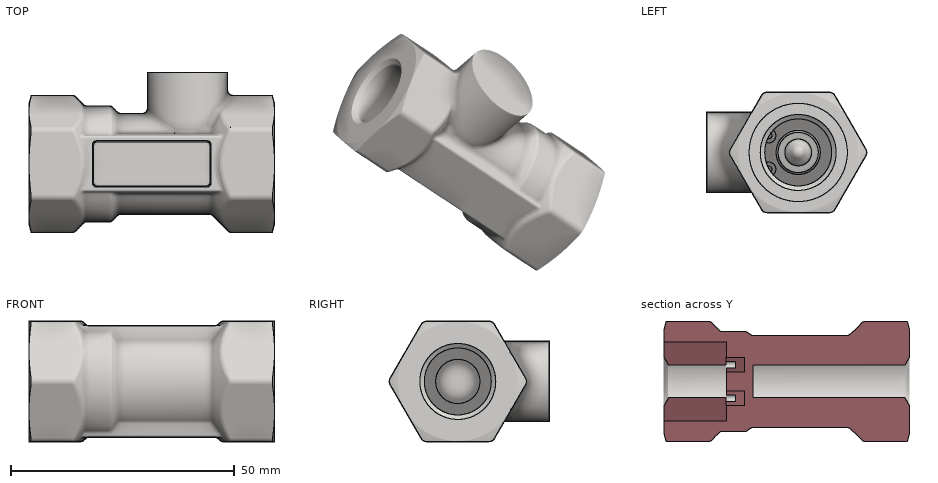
import cadquery as cq
import math

LENGTH = 55.0
LEFT = -LENGTH / 2
RIGHT = LENGTH / 2
HEX_APOTHEM = 13.5
HEX_CORNER_R = HEX_APOTHEM / math.cos(math.radians(30))
HEX_CORNER_FILLET = 1.5
HEX_EDGE_FILLET = 1.0
FACE_CHAMFER_R = 13.4
FACE_CHAMFER_ANGLE = 15.0

BLANK_R = 16.0
BARREL_R = 11.3
COLLAR_R = 13.0
COLLAR_LEFT = LEFT + 12.5
COLLAR_RIGHT = LEFT + 18.4
TAPER_END = COLLAR_RIGHT + COLLAR_R - BARREL_R
RIGHT_CONE_FOOT = RIGHT - 14.15
BARREL_FILLET = 1.0
COLLAR_FOOT_FILLET = 0.8

RIB_Z = 12.5
RIB_ROOT_Z = 7.0
RIB_TOP_HALF_WIDTH = 6.2
RIB_DRAFT = 10.0
RIB_HALF_LENGTH = 17.5
RIB_EDGE_FILLET = 0.6
RIB_ROOT_FILLET = 1.0

LABEL_LENGTH = 26.6
LABEL_WIDTH = 10.4
LABEL_DEPTH = 0.3
LABEL_CORNER_R = 1.0
LABEL_DRAFT = 45.0

BRANCH_R = 9.0
BRANCH_X = 8.0
BRANCH_END_Y = 20.485
BRANCH_FILLET = 1.0

BORE_R = 7.5
MOUTH_R = 8.5
SLEEVE_R = 11.0
SLEEVE_LENGTH = 14.0
WEB_LEFT = LEFT + SLEEVE_LENGTH
WEB_THICKNESS = 6.0
WEB_RIGHT = WEB_LEFT + WEB_THICKNESS

CORE_R = 4.95
CORE_CHAMFER = 0.45
CONE_R = 3.0
CONE_TIP_R = 1.35
CONE_LENGTH = 2.5
TIP_HEIGHT = 0.8

PIN_R = 1.6
PIN_HOLE_R = 0.7
PIN_LENGTH = 4.0
PIN_HOLE_DEPTH = 2.0
PIN_Y = 6.6
PIN_Z = 3.75

SELECT_REACH = 20.0
SELECT_MARGIN = 0.1
BRANCH_EDGE_TOLERANCE = 0.002
EDGE_SAMPLES = (0, 0.3, 0.7, 1)


def revolve_about_x(profile):
    return profile.close().revolve(360, (0, 0, 0), (1, 0, 0))


def x_cylinder(x_start, length, radius, y=0.0, z=0.0):
    return cq.Workplane("YZ", origin=(x_start, y, z)).circle(radius).extrude(length)


def bore_mouth(face_x, inward):
    """Conical entry of a bore; inward is +1 or -1 along X."""
    inner_x = face_x + inward * (MOUTH_R - BORE_R)
    profile = cq.Workplane("XY").polyline([(face_x, 0), (face_x, MOUTH_R), (inner_x, BORE_R), (inner_x, 0)])
    return revolve_about_x(profile)


def edges_between(x_min, x_max, reach=SELECT_REACH):
    """Select the edges that lie wholly between two X stations."""
    return cq.selectors.BoxSelector((x_min, -reach, -reach), (x_max, reach, reach), boundingbox=True)


def circle_at(x, radius):
    return edges_between(x - SELECT_MARGIN, x + SELECT_MARGIN, radius + SELECT_MARGIN)


def make_turned_barrel():
    """Turned shape of the housing; its seam lies on -Y, away from the branch."""
    end_drop = (BLANK_R - FACE_CHAMFER_R) * math.tan(math.radians(FACE_CHAMFER_ANGLE))
    outline = [
        (LEFT, 0),
        (LEFT, -FACE_CHAMFER_R),
        (LEFT + end_drop, -BLANK_R),
        (COLLAR_LEFT - (BLANK_R - COLLAR_R), -BLANK_R),
        (COLLAR_LEFT, -COLLAR_R),
        (COLLAR_RIGHT, -COLLAR_R),
        (TAPER_END, -BARREL_R),
        (RIGHT_CONE_FOOT, -BARREL_R),
        (RIGHT_CONE_FOOT + BLANK_R - BARREL_R, -BLANK_R),
        (RIGHT - end_drop, -BLANK_R),
        (RIGHT, -FACE_CHAMFER_R),
        (RIGHT, 0),
    ]
    turned = revolve_about_x(cq.Workplane("XY").polyline(outline))
    rounded_steps = [
        (COLLAR_LEFT, COLLAR_R, COLLAR_FOOT_FILLET),
        (COLLAR_RIGHT, COLLAR_R, BARREL_FILLET),
        (TAPER_END, BARREL_R, BARREL_FILLET),
        (RIGHT_CONE_FOOT, BARREL_R, BARREL_FILLET),
    ]
    for x, radius, fillet in rounded_steps:
        turned = turned.edges(circle_at(x, radius)).fillet(fillet)
    return turned


def make_hex_barrel():
    """Turned barrel with hexagon flats on its two large ends."""
    hexagon = (
        cq.Workplane("YZ", origin=(LEFT, 0, 0))
        .polygon(6, 2 * HEX_CORNER_R)
        .extrude(LENGTH)
        .edges("|X")
        .fillet(HEX_CORNER_FILLET)
    )
    barrel = make_turned_barrel().intersect(hexagon)
    left_cone = edges_between(COLLAR_LEFT - (BLANK_R - COLLAR_R), COLLAR_LEFT - SELECT_MARGIN)
    right_cone = edges_between(RIGHT_CONE_FOOT + BARREL_FILLET, RIGHT_CONE_FOOT + BLANK_R - BARREL_R)
    barrel = barrel.edges(left_cone).fillet(HEX_EDGE_FILLET)
    return barrel.edges(right_cone).fillet(HEX_EDGE_FILLET)


def make_collar_trim():
    """Collar material that stands above the rib tops, back to the left hexagon's cone."""
    cone_apex_x = COLLAR_LEFT + COLLAR_R
    cone_base_x = COLLAR_LEFT - (BLANK_R - COLLAR_R)
    cone = revolve_about_x(
        cq.Workplane("XY").polyline(
            [(cone_base_x, 0), (cone_base_x, cone_apex_x - cone_base_x), (cone_apex_x, 0)]
        )
    )
    trim_left = COLLAR_LEFT - COLLAR_FOOT_FILLET
    flat_width = 2 * (RIB_TOP_HALF_WIDTH - RIB_EDGE_FILLET)
    block = (
        cq.Workplane("XY", origin=(trim_left, 0, RIB_Z))
        .box(TAPER_END - trim_left, flat_width, BLANK_R - RIB_Z, centered=(False, True, False))
        .cut(cone)
    )
    return block.union(block.mirror("XY"))


def rib_half_width(z):
    return RIB_TOP_HALF_WIDTH + (RIB_Z - z) * math.tan(math.radians(RIB_DRAFT))


def make_rib():
    root = rib_half_width(RIB_ROOT_Z)
    return (
        cq.Workplane("YZ", origin=(-RIB_HALF_LENGTH, 0, 0))
        .polyline(
            [
                (-root, RIB_ROOT_Z),
                (-RIB_TOP_HALF_WIDTH, RIB_Z),
                (RIB_TOP_HALF_WIDTH, RIB_Z),
                (root, RIB_ROOT_Z),
            ]
        )
        .close()
        .extrude(2 * RIB_HALF_LENGTH)
        .edges("|X and >Z")
        .fillet(RIB_EDGE_FILLET)
    )


def add_ribs(body):
    rib = make_rib()
    body = body.union(rib).union(rib.mirror("XY")).clean()

    def is_rib_foot(edge):
        middle = edge.Center()
        on_barrel = abs(math.hypot(middle.y, middle.z) - BARREL_R) < SELECT_MARGIN
        on_flank = abs(abs(middle.y) - rib_half_width(abs(middle.z))) < SELECT_MARGIN
        return on_barrel and on_flank

    foot_edges = [edge for edge in body.edges("|X").vals() if is_rib_foot(edge)]
    return body.newObject(foot_edges).fillet(RIB_ROOT_FILLET)


def add_branch(body):
    branch = (
        cq.Workplane("XZ", origin=(BRANCH_X, 0, 0))
        .transformed(rotate=(0, 0, 90))
        .circle(BRANCH_R)
        .extrude(-BRANCH_END_Y)
    )
    body = body.union(branch)

    def is_branch_foot(edge):
        if edge.geomType() == "LINE" or not 0 < edge.Center().y < BRANCH_END_Y - SELECT_MARGIN:
            return False
        points = edge.positions(EDGE_SAMPLES)
        return all(abs(math.hypot(p.x - BRANCH_X, p.z) - BRANCH_R) < BRANCH_EDGE_TOLERANCE for p in points)

    foot_edges = [edge for edge in body.edges().vals() if is_branch_foot(edge)]
    return body.newObject(foot_edges).fillet(BRANCH_FILLET)


def make_label_recess():
    return (
        cq.Workplane("XY", origin=(0, 0, RIB_Z))
        .sketch()
        .rect(LABEL_LENGTH, LABEL_WIDTH)
        .vertices()
        .fillet(LABEL_CORNER_R)
        .finalize()
        .extrude(-LABEL_DEPTH, taper=LABEL_DRAFT)
    )


def make_housing():
    body = make_hex_barrel().cut(make_collar_trim())
    body = add_branch(add_ribs(body))
    body = body.cut(make_label_recess())
    body = body.cut(x_cylinder(LEFT, SLEEVE_LENGTH, SLEEVE_R))
    body = body.cut(x_cylinder(WEB_RIGHT, RIGHT - WEB_RIGHT, BORE_R))
    body = body.cut(bore_mouth(RIGHT, -1))
    body = body.cut(make_core())
    for side in (-1, 1):
        body = body.cut(make_pin_blank(side))
    return body.solids()


def make_sleeve():
    """Liner of the left port, flush with the end face and standing on the web."""
    liner = x_cylinder(LEFT, SLEEVE_LENGTH, SLEEVE_R).cut(x_cylinder(LEFT, SLEEVE_LENGTH, BORE_R))
    return liner.cut(bore_mouth(LEFT, 1))


def make_core():
    """Plug through the web with a round-tipped cone facing the left port."""
    face_x = WEB_LEFT - CORE_CHAMFER
    tip_x = face_x - CONE_LENGTH
    tip_sphere_r = (CONE_TIP_R**2 + TIP_HEIGHT**2) / (2 * TIP_HEIGHT)
    half_angle = math.asin(CONE_TIP_R / tip_sphere_r) / 2
    arc_x = tip_x - TIP_HEIGHT + tip_sphere_r * (1 - math.cos(half_angle))
    arc_r = tip_sphere_r * math.sin(half_angle)
    profile = (
        cq.Workplane("XY")
        .moveTo(tip_x - TIP_HEIGHT, 0)
        .threePointArc((arc_x, arc_r), (tip_x, CONE_TIP_R))
        .lineTo(face_x, CONE_R)
        .lineTo(face_x, CORE_R - CORE_CHAMFER)
        .lineTo(WEB_LEFT, CORE_R)
        .lineTo(WEB_RIGHT, CORE_R)
        .lineTo(WEB_RIGHT, 0)
    )
    return revolve_about_x(profile)


def make_pin_blank(side):
    return x_cylinder(WEB_LEFT, PIN_LENGTH, PIN_R, PIN_Y, side * PIN_Z)


def make_pin(side):
    """Pin flush in the web with a small blind hole in its end."""
    hole = x_cylinder(WEB_LEFT, PIN_HOLE_DEPTH, PIN_HOLE_R, PIN_Y, side * PIN_Z)
    return make_pin_blank(side).cut(hole)


housing = make_housing()
sleeve = make_sleeve()
core = make_core()
pins = [make_pin(side) for side in (-1, 1)]

result = cq.Compound.makeCompound([housing.val(), sleeve.val(), core.val(), *[pin.val() for pin in pins]])